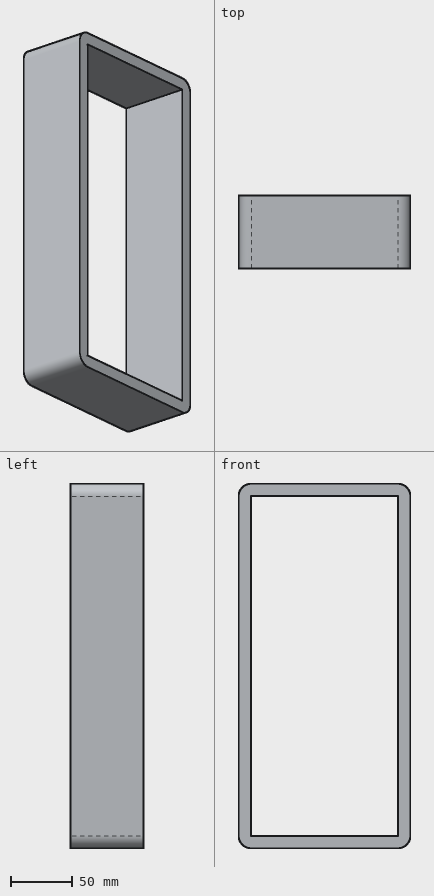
import cadquery as cq

opening_width = 120.0
opening_height = 277.5
wall = 10.25
depth = 60.0

outer_width = opening_width + 2 * wall
outer_height = opening_height + 2 * wall
corner_radius = wall


def block(width, height):
    """Rectangular block in X and Z, extruded along Y and centred on the origin."""
    return cq.Workplane("XZ").rect(width, height).extrude(depth / 2, both=True)


outer_body = block(outer_width, outer_height).edges("|Y").fillet(corner_radius)
opening = block(opening_width, opening_height)

result = outer_body.cut(opening)